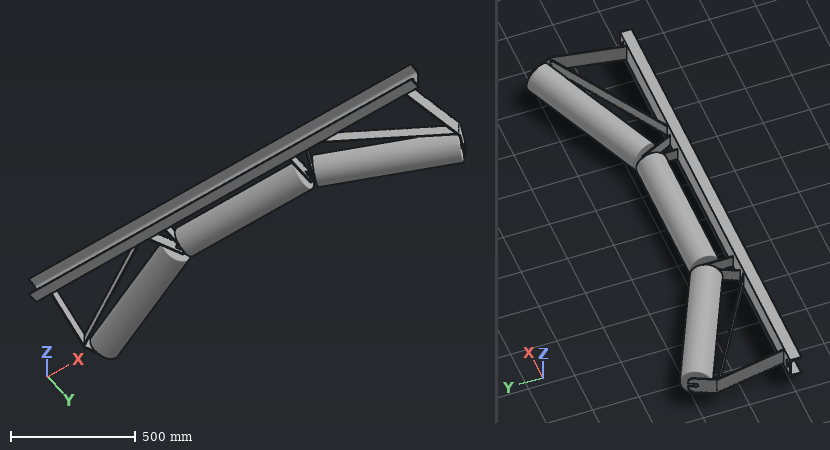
import cadquery as cq
import math


channel_length = 1900.0
channel_height = 100.0
flange_width = 50.0
web_thickness = 6.0
flange_thickness = 8.5
flange_slope = 0.08
root_radius = 8.5
tip_radius = 4.5
mount_slot_width = 18.0
mount_slot_length = 36.0
mount_slot_inset = 30.0

roller_diameter = 133.0
roller_length = 600.0
roller_edge_radius = 4.0
shaft_diameter = 18.0
trough_angle = math.radians(25)
inner_drop = 19.9
centre_axis_height = 117.0
wing_inner_x = 344.0
wing_inner_height = 127.43

strip_thickness = 5.0
outer_bracket_width = 80.0
end_gap = 8.0
outer_bend_height = 308.0
outer_leg_angle = math.radians(10)
outer_bend_radius = 16.0
outer_tip_reach = 32.0
outer_tip_radius = 25.0
inner_top_height = 146.0
inner_bracket_width = 60.0
strut_width = 55.0
strut_foot_x = 430.0
strut_clearance = 1.0
foot_overrun = 20.0

shaft_overhang = end_gap + strip_thickness
plate_offset = end_gap + strip_thickness / 2
sin_trough = math.sin(trough_angle)
cos_trough = math.cos(trough_angle)
forward_tilt = math.asin(inner_drop / (roller_length + plate_offset))


def roller_plane_centre():
    """Frame at the left end of the centre roller: normal along the axis, local x up the slot."""
    return cq.Plane(origin=(-roller_length / 2, centre_axis_height, -inner_drop),
                    xDir=(0, 1, 0), normal=(1, 0, 0))


def roller_plane_wing():
    """Frame at the inner end of the left wing roller: normal along the tilted axis, local x up the slot."""
    axis = (-cos_trough * math.cos(forward_tilt),
            sin_trough * math.cos(forward_tilt),
            math.sin(forward_tilt))
    return cq.Plane(origin=(-wing_inner_x, wing_inner_height, -inner_drop),
                    xDir=(sin_trough, cos_trough, 0), normal=axis)


def make_roller(plane):
    """Drum with rounded edges and a shaft stub at each end, starting at the plane."""
    drum = (cq.Workplane(plane.rotated((0, 0, 90))).circle(roller_diameter / 2).extrude(roller_length)
            .edges().fillet(roller_edge_radius))
    shaft = (cq.Workplane(plane).workplane(offset=-shaft_overhang)
             .circle(shaft_diameter / 2).extrude(roller_length + 2 * shaft_overhang))
    return drum.union(shaft)


def shaft_slots(plane):
    """Cutter for the open-ended slots that let both shaft ends drop into the brackets."""
    length = roller_length + 4 * shaft_overhang
    base = cq.Workplane(plane).workplane(offset=-2 * shaft_overhang)
    bottom = base.circle(shaft_diameter / 2).extrude(length)
    mouth = base.center(roller_diameter / 2, 0).rect(roller_diameter, shaft_diameter).extrude(length)
    return bottom.union(mouth)


def offset_side(points, distance):
    """Polyline shifted sideways (positive = left of travel), with mitred corners."""
    headings = [math.atan2(b[1] - a[1], b[0] - a[0]) for a, b in zip(points, points[1:])]
    before = headings[:1] + headings
    after = headings + headings[-1:]
    side = []
    for (x, y), h0, h1 in zip(points, before, after):
        middle = (h0 + h1) / 2
        reach = distance / math.cos((h1 - h0) / 2)
        side.append((x - reach * math.sin(middle), y + reach * math.cos(middle)))
    return side


def make_strip(points, width):
    """Flat strip following a centreline in XY, centred on Z = 0 and trimmed at the web back."""
    half = strip_thickness / 2
    outline = offset_side(points, half) + offset_side(points, -half)[::-1]
    strip = cq.Workplane("XY").polyline(outline).close().extrude(width / 2, both=True)
    below_web_back = (cq.Workplane("XY")
                      .box(channel_length, 4 * foot_overrun, 2 * width)
                      .translate((0, -2 * foot_overrun, 0)))
    return strip.cut(below_web_back)


def make_channel():
    """Channel opening towards -Y, with a vertical mounting slot near each end of its web."""
    half_height = channel_height / 2
    tip_z = half_height - flange_thickness + flange_slope * flange_width / 2
    root_z = tip_z - flange_slope * (flange_width - web_thickness)
    profile = [
        (0, half_height), (-flange_width, half_height), (-flange_width, tip_z),
        (-web_thickness, root_z), (-web_thickness, -root_z),
        (-flange_width, -tip_z), (-flange_width, -half_height), (0, -half_height),
    ]
    channel = cq.Workplane("YZ").polyline(profile).close().extrude(channel_length / 2, both=True)
    for z in (root_z, -root_z):
        channel = channel.edges(cq.NearestToPointSelector((0, -web_thickness, z))).fillet(root_radius)
    for z in (tip_z, -tip_z):
        channel = channel.edges(cq.NearestToPointSelector((0, -flange_width, z))).fillet(tip_radius)
    slot_x = channel_length / 2 - mount_slot_inset
    slots = (cq.Workplane("XZ").pushPoints([(-slot_x, 0), (slot_x, 0)])
             .slot2D(mount_slot_length, mount_slot_width, 90).extrude(web_thickness))
    return channel.cut(slots)


outer_seat_x = -wing_inner_x - (roller_length + plate_offset) * cos_trough
outer_seat_y = wing_inner_height + (roller_length + plate_offset) * sin_trough
outer_bend = (outer_seat_x - (outer_seat_y - outer_bend_height) * math.tan(trough_angle),
              outer_bend_height)


def make_outer_bracket():
    """Bent strip with a rounded, slotted end that carries the outer shaft of the wing roller."""
    foot_drop = outer_bend_height + foot_overrun
    foot = (outer_bend[0] + foot_drop * math.tan(outer_leg_angle), -foot_overrun)
    tip = (outer_seat_x + outer_tip_reach * sin_trough, outer_seat_y + outer_tip_reach * cos_trough)
    centreline = [foot, outer_bend, tip]
    bracket = make_strip(centreline, outer_bracket_width)

    half = strip_thickness / 2
    for side, radius in ((half, outer_bend_radius + strip_thickness), (-half, outer_bend_radius)):
        corner = offset_side(centreline, side)[1]
        bracket = bracket.edges(cq.NearestToPointSelector((*corner, 0))).fillet(radius)
    for z in (outer_bracket_width / 2, -outer_bracket_width / 2):
        bracket = bracket.edges(cq.NearestToPointSelector((*tip, z))).fillet(outer_tip_radius)
    return bracket.cut(shaft_slots(roller_plane_wing()))


def make_inner_bracket():
    """Strip with one leg facing the wing roller, a flat top and a leg facing the centre roller."""
    top_y = inner_top_height - strip_thickness / 2
    wing_seat_x = -wing_inner_x + plate_offset * cos_trough
    wing_seat_y = wing_inner_height - plate_offset * sin_trough

    def wing_leg_x(y):
        return wing_seat_x + (y - wing_seat_y) * math.tan(trough_angle)

    centre_leg_x = -roller_length / 2 - plate_offset
    centreline = [(wing_leg_x(-foot_overrun), -foot_overrun), (wing_leg_x(top_y), top_y),
                  (centre_leg_x, top_y), (centre_leg_x, -foot_overrun)]
    bracket = make_strip(centreline, inner_bracket_width).translate((0, 0, -inner_drop))
    return bracket.cut(shaft_slots(roller_plane_wing())).cut(shaft_slots(roller_plane_centre()))


def make_strut(bracket):
    """Straight brace from the channel web to the bend of the outer bracket."""
    angle = math.atan2(outer_bend[1], outer_bend[0] + strut_foot_x)
    end = (outer_bend[0] - strut_clearance * math.cos(angle),
           outer_bend[1] - strut_clearance * math.sin(angle))
    foot = (-strut_foot_x - foot_overrun * math.cos(angle), -foot_overrun * math.sin(angle))
    return make_strip([foot, end], strut_width).cut(bracket)


channel = make_channel()
centre_roller = make_roller(roller_plane_centre())
wing_roller = make_roller(roller_plane_wing())
outer_bracket = make_outer_bracket()
inner_bracket = make_inner_bracket()
strut = make_strut(outer_bracket)

bodies = [channel.val(), centre_roller.val()]
for left_body in (wing_roller, outer_bracket, inner_bracket, strut):
    bodies.append(left_body.val())
    bodies.append(left_body.mirror("YZ").val())

result = cq.Compound.makeCompound(bodies)